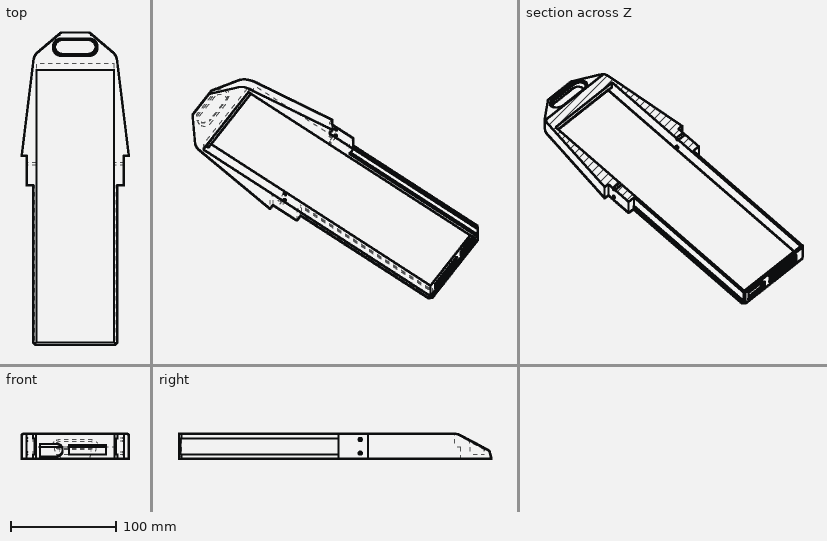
import cadquery as cq
import math

length = 297.45
max_width = 102.19
height = 24.0

front_half_width = 40.0
front_length = 152.0
front_corner_chamfer = 2.5
shoulder_half_width = 46.3
tail_start = 180.0
tail_corner_half_width = 39.3
tail_corner_y = 275.7
tail_corner_radius = 12.0
tip_half_width = 13.5

slope_start = 264.9
slope_angle = 28.0
slope_blend_radius = 9.0
tip_face_lean = 2.0
rim_radius = 2.0

groove_depth = 1.0
groove_bottom = 4.3
groove_height = 15.2

side_wall = 3.0
front_wall = 2.5
roof_thickness = 0.7
cavity_end = 262.0
low_cavity_height = 11.45
low_cavity_end = 268.0

window_left = -6.0
window_right = 29.2
window_bottom = 4.2
window_top = 13.3
port_left = -33.6
port_right = -11.9
port_bottom = 2.5
port_top = 14.3

recess_center_y = 283.7
recess_length = 38.5
recess_width = 13.0
recess_floor = 4.0
recess_draft = 4.0
recess_chamfer = 1.3

hole_diameter = 2.5
hole_y = 172.5
hole_heights = (5.5, 18.5)

edge_tolerance = 0.01


def box(x_min, x_max, y_min, y_max, z_min, z_max):
    size = (x_max - x_min, y_max - y_min, z_max - z_min)
    return cq.Workplane("XY").box(*size, centered=False).translate((x_min, y_min, z_min))


def front_body():
    body = box(-front_half_width, front_half_width, 0, tail_start, 0, height)
    return body.edges("|Z and <Y").chamfer(front_corner_chamfer)


def shoulder():
    return box(-shoulder_half_width, shoulder_half_width, front_length, tail_start, 0, height)


def tail_plan():
    half = max_width / 2
    plan = (
        cq.Workplane("XY")
        .polyline([
            (-half, tail_start),
            (half, tail_start),
            (tail_corner_half_width, tail_corner_y),
            (tip_half_width, length),
            (-tip_half_width, length),
            (-tail_corner_half_width, tail_corner_y),
        ])
        .close()
        .extrude(height)
    )
    corners = cq.selectors.BoxSelector((-half, slope_start, 0), (half, recess_center_y, height))
    return plan.edges("|Z").edges(corners).fillet(tail_corner_radius)


def tail_profile():
    tip_top_y = length - tip_face_lean
    slope_drop = (tip_top_y - slope_start) * math.tan(math.radians(slope_angle))
    profile = (
        cq.Workplane("YZ")
        .polyline([
            (tail_start, 0),
            (length, 0),
            (tip_top_y, height - slope_drop),
            (slope_start, height),
            (tail_start, height),
        ])
        .close()
        .extrude(max_width / 2, both=True)
    )
    crease = cq.selectors.NearestToPointSelector((0, slope_start, height))
    return profile.edges(crease).fillet(slope_blend_radius)


def is_rim(edge):
    """True for the upper outer edges of the tail: both sides and the tip."""
    bounds = edge.BoundingBox()
    raised = bounds.zmin > edge_tolerance
    upright = bounds.xlen < edge_tolerance and bounds.ylen < edge_tolerance
    crosswise = bounds.ylen < edge_tolerance
    at_tip = bounds.ymin > recess_center_y
    return raised and not upright and (at_tip or not crosswise)


def tail():
    solid = tail_plan().intersect(tail_profile())
    rim = [edge for edge in solid.edges().vals() if is_rim(edge)]
    return solid.newObject(rim).fillet(rim_radius)


def side_grooves():
    inner = front_half_width - groove_depth
    top = groove_bottom + groove_height
    groove = box(inner, front_half_width, 0, front_length, groove_bottom, top)
    return groove.union(groove.mirror("YZ"))


def cavity():
    half = front_half_width - side_wall
    main = box(-half, half, front_wall, cavity_end, 0, height - roof_thickness)
    low = box(-half, half, front_wall, low_cavity_end, 0, low_cavity_height)
    return main.union(low)


def front_openings():
    window = box(window_left, window_right, 0, front_wall, window_bottom, window_top)
    radius = (port_top - port_bottom) / 2
    center_x = port_right - radius
    port = (
        cq.Workplane("XZ")
        .moveTo(port_left, port_bottom)
        .lineTo(center_x, port_bottom)
        .threePointArc((port_right, port_bottom + radius), (center_x, port_top))
        .lineTo(port_left, port_top)
        .close()
        .extrude(-front_wall)
    )
    return window.union(port)


def side_holes():
    return (
        cq.Workplane("YZ")
        .pushPoints([(hole_y, z) for z in hole_heights])
        .circle(hole_diameter / 2)
        .extrude(max_width / 2, both=True)
    )


def cut_strap_recess(body):
    """Cut the drafted recess and chamfer its mouth on the slope."""
    recess = (
        cq.Workplane("XY", origin=(0, recess_center_y, recess_floor))
        .slot2D(recess_length, recess_width)
        .extrude(height, taper=-recess_draft)
    )
    body = body.cut(recess)

    spread = height * math.tan(math.radians(recess_draft))
    reach_x = recess_length / 2 + spread
    reach_y = recess_width / 2 + spread
    zone = cq.selectors.BoxSelector(
        (-reach_x, recess_center_y - reach_y, recess_floor + edge_tolerance),
        (reach_x, recess_center_y + reach_y, height),
        boundingbox=True,
    )
    return body.edges(zone).chamfer(recess_chamfer)


outer = front_body().union(shoulder()).union(tail())
shell = outer.cut(side_grooves()).cut(cavity()).cut(front_openings()).cut(side_holes())
result = cut_strap_recess(shell)